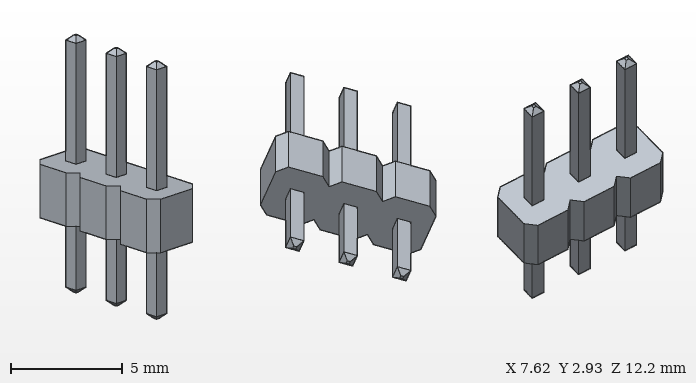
import cadquery as cq

pin_count = 3
row_length = 7.62
pitch = row_length / pin_count
housing_depth = 2.93
housing_height = pitch
corner_chamfer = 0.45

pin_length = 12.19
pin_width = 0.65
pin_below_housing = 3.68
tip_height = 0.24
tip_flat = 0.15

pin_centers = [(i - (pin_count - 1) / 2) * pitch for i in range(pin_count)]
pin_bottom = -pin_below_housing
pin_top = pin_bottom + pin_length


def make_cell(x):
    """One housing cell, with its underside at Z = 0."""
    return (
        cq.Workplane("XY")
        .box(pitch, housing_depth, housing_height, centered=(True, True, False))
        .edges("|Z")
        .chamfer(corner_chamfer)
        .translate((x, 0, 0))
    )


def make_tip(x, base_z, end_z):
    """Tapered pin end, from the full section at base_z to the flat at end_z."""
    return (
        cq.Workplane("XY", origin=(x, 0, base_z))
        .rect(pin_width, pin_width)
        .workplane(offset=end_z - base_z)
        .rect(tip_flat, tip_flat)
        .loft(ruled=True)
    )


def make_pin(x):
    """Straight square pin with a tapered tip at both ends."""
    shank_bottom = pin_bottom + tip_height
    shank_top = pin_top - tip_height
    shank = (
        cq.Workplane("XY", origin=(x, 0, shank_bottom))
        .rect(pin_width, pin_width)
        .extrude(shank_top - shank_bottom)
    )
    lower_tip = make_tip(x, shank_bottom, pin_bottom)
    upper_tip = make_tip(x, shank_top, pin_top)
    return shank.union(lower_tip).union(upper_tip)


housing = make_cell(pin_centers[0])
for center in pin_centers[1:]:
    housing = housing.union(make_cell(center))

result = housing.clean()
for center in pin_centers:
    result = result.union(make_pin(center))